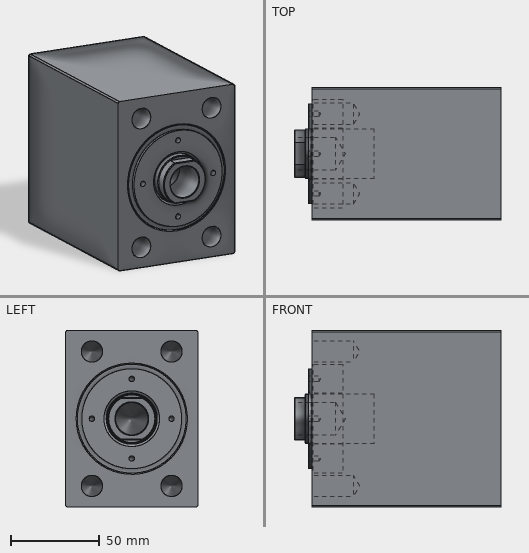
import cadquery as cq
import math

OVERALL_LENGTH = 117.0
HOUSING_WIDTH = 75.0
HOUSING_HEIGHT = 100.0
HOUSING_CHAMFER = 0.9
ROD_PROTRUSION = 10.0
HOUSING_LENGTH = OVERALL_LENGTH - ROD_PROTRUSION

MOUNT_HOLE_DIAMETER = 12.0
MOUNT_HOLE_DEPTH = 23.4
MOUNT_SPACING_Y = 45.0
MOUNT_SPACING_Z = 76.0

GLAND_DIAMETER = 61.5
GLAND_DEPTH = 17.5
SEAT_MOUTH_CHAMFER = 0.7
BOSS_DIAMETER = 56.5
BOSS_HEIGHT = 1.9
GLAND_MOUTH_CHAMFER = 1.3
PIN_HOLE_DIAMETER = 3.0
PIN_HOLE_DEPTH = 5.8
PIN_CIRCLE_DIAMETER = 45.0
PIN_HOLE_COUNT = 4

ROD_DIAMETER = 28.0
ROD_SHOULDER_CHAMFER = 0.5
ROD_DEPTH = 35.1
ROD_CLEARANCE = 0.5
NECK_DIAMETER = 27.0
NECK_LENGTH = 6.0
NECK_CHAMFER = 0.5
FLATS_WIDTH = 24.0
ROD_BORE_DIAMETER = 18.4
ROD_BORE_DEPTH = 23.4
ROD_BORE_CHAMFER = 0.4

DRILL_TIP_ANGLE = 118.0

BOSS_FACE = -BOSS_HEIGHT
ROD_TIP = -ROD_PROTRUSION
ROD_SHOULDER = ROD_TIP + NECK_LENGTH


def cylinder(start, length, diameter):
    """Cylinder about the X axis, running toward +X from start."""
    return cq.Workplane("YZ", origin=(start, 0, 0)).circle(diameter / 2).extrude(length)


def drilled_hole(start, depth, diameter, y=0.0, z=0.0):
    """Cutter for a blind hole along +X that ends in a conical drill tip."""
    radius = diameter / 2
    tip_length = radius / math.tan(math.radians(DRILL_TIP_ANGLE / 2))
    half_profile = (
        cq.Workplane("XY", origin=(start, y, z))
        .polyline([(0, 0), (0, radius), (depth, radius), (depth + tip_length, 0)])
        .close()
    )
    return half_profile.revolve(360, (0, 0, 0), (1, 0, 0))


def make_housing():
    block = (
        cq.Workplane("YZ")
        .rect(HOUSING_WIDTH, HOUSING_HEIGHT)
        .extrude(HOUSING_LENGTH)
        .edges("|X")
        .chamfer(HOUSING_CHAMFER)
    )
    gland_seat = cylinder(0, GLAND_DEPTH, GLAND_DIAMETER)
    block = block.cut(gland_seat).faces("<X").edges("%CIRCLE").chamfer(SEAT_MOUTH_CHAMFER)
    block = block.cut(cylinder(0, ROD_DEPTH, ROD_DIAMETER))
    for side_y in (-1, 1):
        for side_z in (-1, 1):
            hole_y = side_y * MOUNT_SPACING_Y / 2
            hole_z = side_z * MOUNT_SPACING_Z / 2
            block = block.cut(drilled_hole(0, MOUNT_HOLE_DEPTH, MOUNT_HOLE_DIAMETER, hole_y, hole_z))
    return block


def make_gland():
    disc = cylinder(0, GLAND_DEPTH, GLAND_DIAMETER)
    boss = cylinder(BOSS_FACE, BOSS_HEIGHT, BOSS_DIAMETER)
    rod_bore_diameter = ROD_DIAMETER + 2 * ROD_CLEARANCE
    rod_bore = cylinder(BOSS_FACE, BOSS_HEIGHT + GLAND_DEPTH, rod_bore_diameter)
    gland = disc.union(boss).cut(rod_bore)
    gland = gland.faces("<X").edges(cq.selectors.RadiusNthSelector(0)).chamfer(GLAND_MOUTH_CHAMFER)
    for index in range(PIN_HOLE_COUNT):
        angle = 2 * math.pi * index / PIN_HOLE_COUNT
        hole_y = PIN_CIRCLE_DIAMETER / 2 * math.cos(angle)
        hole_z = PIN_CIRCLE_DIAMETER / 2 * math.sin(angle)
        gland = gland.cut(drilled_hole(BOSS_FACE, PIN_HOLE_DEPTH, PIN_HOLE_DIAMETER, hole_y, hole_z))
    return gland


def make_rod():
    shaft = cylinder(ROD_SHOULDER, ROD_DEPTH - ROD_SHOULDER, ROD_DIAMETER)
    shaft = shaft.faces("<X").chamfer(ROD_SHOULDER_CHAMFER)
    flats = (
        cq.Workplane("YZ", origin=(ROD_TIP, 0, 0))
        .rect(NECK_DIAMETER, FLATS_WIDTH)
        .extrude(NECK_LENGTH)
    )
    neck = cylinder(ROD_TIP, NECK_LENGTH, NECK_DIAMETER).intersect(flats)
    neck = neck.faces("<X").chamfer(NECK_CHAMFER)
    rod = shaft.union(neck)
    rod = rod.cut(drilled_hole(ROD_TIP, ROD_BORE_DEPTH, ROD_BORE_DIAMETER))
    return rod.faces("<X").edges("%CIRCLE").edges(cq.selectors.RadiusNthSelector(0)).chamfer(ROD_BORE_CHAMFER)


housing = make_housing()
gland = make_gland()
rod = make_rod()

result = cq.Compound.makeCompound([housing.val(), gland.val(), rod.val()])